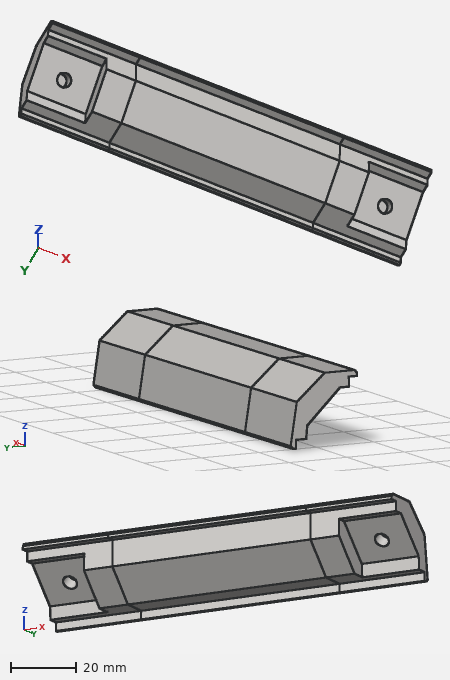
import cadquery as cq
import math

SPAN = 130.0
TILT = 0.5
DEPTH = 23.3
HEIGHT = 22.9
LENGTH = (SPAN - HEIGHT * math.sin(math.radians(TILT))) / math.cos(math.radians(TILT))
END_LENGTH = 30.0
MIDDLE_LENGTH = LENGTH - 2 * END_LENGTH

LIP_THICKNESS = 2.0
LIP_CHAMFER = 0.9
WEB_FRONT = 2.9
WEB_BOTTOM = 2.7
WEB_FRONT_BASE = 12.5
WEB_BOTTOM_START = 12.9
ROOF_BACK = 11.3
SHOULDER_Y = 21.1
SHOULDER_Z = 14.6
REAR_LIP_FRONT = DEPTH - LIP_THICKNESS

POCKET_LENGTH = 20.0
POCKET_TOP = 17.8
POCKET_TOP_BACK = 6.0
POCKET_REAR_TOP_Y = 17.4
POCKET_REAR_TOP_Z = 6.9
POCKET_REAR_BOTTOM_Y = 17.8

HOLE_DIAMETER = 4.5
HOLE_DEPTH = 5.0
HOLE_OFFSET = 0.5


def extrude_outline(points, x_start, length):
    """Extrude a (Y, Z) outline along +X from x_start."""
    return cq.Workplane("YZ", origin=(x_start, 0, 0)).polyline(points).close().extrude(length)


def bar(x_start, length):
    """Stretch of the full bar profile."""
    outline = [
        (0, HEIGHT - LIP_THICKNESS),
        (0, HEIGHT - LIP_CHAMFER),
        (LIP_CHAMFER, HEIGHT),
        (ROOF_BACK, HEIGHT),
        (SHOULDER_Y, SHOULDER_Z),
        (DEPTH, LIP_CHAMFER),
        (DEPTH - LIP_CHAMFER, 0),
        (REAR_LIP_FRONT, 0),
        (REAR_LIP_FRONT, WEB_BOTTOM),
        (WEB_BOTTOM_START, WEB_BOTTOM),
        (WEB_FRONT, WEB_FRONT_BASE),
        (WEB_FRONT, HEIGHT - LIP_THICKNESS),
    ]
    return extrude_outline(outline, x_start, length)


def pocket(x_start):
    """Cutter that removes the lower front of the bar below the pocket faces."""
    outline = [
        (0, POCKET_TOP),
        (POCKET_TOP_BACK, POCKET_TOP),
        (POCKET_REAR_TOP_Y, POCKET_REAR_TOP_Z),
        (POCKET_REAR_BOTTOM_Y, WEB_BOTTOM),
        (POCKET_REAR_BOTTOM_Y, 0),
        (0, 0),
    ]
    return extrude_outline(outline, x_start, POCKET_LENGTH)


def screw_hole(x_center):
    """Cutter for the blind hole, running up and back from the sloping face."""
    run = POCKET_REAR_TOP_Y - POCKET_TOP_BACK
    rise = POCKET_TOP - POCKET_REAR_TOP_Z
    slope = math.hypot(run, rise)
    center = cq.Vector(
        x_center,
        (POCKET_TOP_BACK + POCKET_REAR_TOP_Y) / 2 + HOLE_OFFSET * run / slope,
        (POCKET_TOP + POCKET_REAR_TOP_Z) / 2 - HOLE_OFFSET * rise / slope,
    )
    inward = cq.Vector(0, rise, run)
    return cq.Solid.makeCylinder(HOLE_DIAMETER / 2, HOLE_DEPTH, center, inward)


def end_piece(x_start, pocket_start):
    """End of the bar, with its pocket and screw hole."""
    piece = bar(x_start, END_LENGTH).cut(pocket(pocket_start))
    return piece.cut(cq.Workplane(screw_hole(pocket_start + POCKET_LENGTH / 2)))


def tilted(body):
    return body.rotate((0, 0, 0), (0, 1, 0), TILT)


middle_piece = tilted(bar(END_LENGTH, MIDDLE_LENGTH))

end_pieces = []
for x_start, pocket_start in [(0, 0), (LENGTH - END_LENGTH, LENGTH - POCKET_LENGTH)]:
    end_pieces.append(tilted(end_piece(x_start, pocket_start)).val())

result = cq.Compound.makeCompound([middle_piece.val(), *end_pieces])